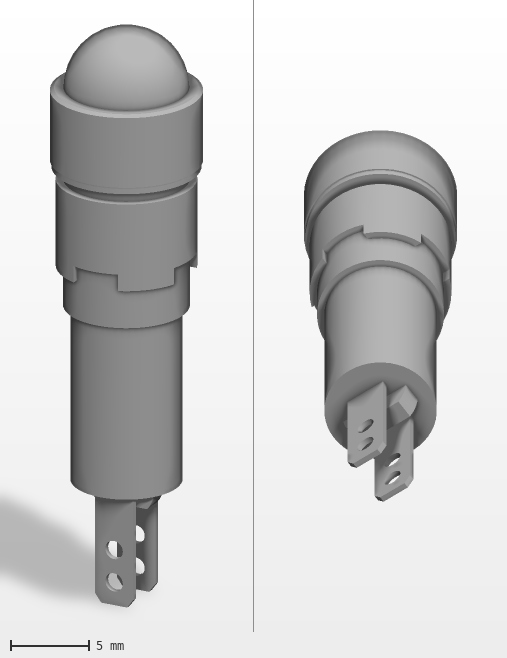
import cadquery as cq

total_height = 39.0
lens_radius = 4.0

bezel_radius = 4.895
bezel_lip_radius = 4.8
neck_radius = 4.05
sleeve_radius = 4.52
barrel_radius = 3.6

bezel_top = total_height - lens_radius
bezel_bottom = 30.03
lip_bottom = 29.55
sleeve_top = 28.75
finger_bottom = 22.78
collar_bottom = 20.05
barrel_bottom = 8.07

bevel_width = 0.27
bevel_height = 0.15

notch_width = 3.2
notch_height = 1.15

terminal_width = 2.73
terminal_thickness = 0.4
terminal_offset = 1.52
tip_chamfer_width = 0.43
tip_chamfer_height = 0.6
hole_diameter = 1.25
hole_heights = (1.55, 3.8)

key_bottom = 6.55
key_thickness = 1.33
key_top_half_width = 2.4
key_shoulder_half_width = 2.05
key_tip_half_width = 1.85
key_shoulder_height = 6.85
key_flank_mid = (2.3, 7.45)


def cylinder(radius, bottom, top):
    """Vertical cylinder on the Z axis between two heights."""
    return cq.Workplane("XY").workplane(offset=bottom).circle(radius).extrude(top - bottom)


def make_bezel():
    """Bevelled head with a narrower lip at its lower end."""
    rim = cylinder(bezel_radius, bezel_bottom, bezel_top)
    rim = rim.faces(">Z").edges().chamfer(bevel_height, bevel_width)
    return rim.union(cylinder(bezel_lip_radius, lip_bottom, bezel_bottom))


def make_sleeve():
    """Ring whose lower rim is notched on the X and Y axes."""
    sleeve = cylinder(sleeve_radius, finger_bottom, sleeve_top)
    notch_span = 2 * bezel_radius
    for length_x, length_y in ((notch_span, notch_width), (notch_width, notch_span)):
        notch = (
            cq.Workplane("XY")
            .workplane(offset=finger_bottom)
            .rect(length_x, length_y)
            .extrude(notch_height)
        )
        sleeve = sleeve.cut(notch)
    return sleeve


def make_terminal(center_y):
    """Flat blade with two solder holes and a chamfered tip."""
    half_width = terminal_width / 2
    tip_half_width = half_width - tip_chamfer_width
    front_plane = cq.Workplane("XZ", origin=(0, center_y + terminal_thickness / 2, 0))
    blade = (
        front_plane
        .moveTo(-tip_half_width, 0)
        .lineTo(tip_half_width, 0)
        .lineTo(half_width, tip_chamfer_height)
        .lineTo(half_width, barrel_bottom)
        .lineTo(-half_width, barrel_bottom)
        .lineTo(-half_width, tip_chamfer_height)
        .close()
        .extrude(terminal_thickness)
    )
    holes = (
        front_plane
        .pushPoints([(0, height) for height in hole_heights])
        .circle(hole_diameter / 2)
        .extrude(terminal_thickness)
    )
    return blade.cut(holes)


def make_key():
    """Tapered key with curved flanks and a bevelled tip."""
    mid_x, mid_z = key_flank_mid
    return (
        cq.Workplane("XZ", origin=(0, key_thickness / 2, 0))
        .moveTo(-key_tip_half_width, key_bottom)
        .lineTo(key_tip_half_width, key_bottom)
        .lineTo(key_shoulder_half_width, key_shoulder_height)
        .threePointArc((mid_x, mid_z), (key_top_half_width, barrel_bottom))
        .lineTo(-key_top_half_width, barrel_bottom)
        .threePointArc((-mid_x, mid_z), (-key_shoulder_half_width, key_shoulder_height))
        .close()
        .extrude(key_thickness)
    )


def make_housing():
    """Bezel, neck, sleeve, barrel, key and terminals as one solid."""
    housing = cylinder(barrel_radius, barrel_bottom, collar_bottom)
    housing = housing.union(cylinder(neck_radius, collar_bottom, lip_bottom))
    housing = housing.union(make_sleeve())
    housing = housing.union(make_bezel())
    housing = housing.union(make_key())
    for center_y in (-terminal_offset, terminal_offset):
        housing = housing.union(make_terminal(center_y))
    return housing


def make_lens():
    """Hemispherical lens seated on the flat top of the bezel."""
    return (
        cq.Workplane("XZ", origin=(0, 0, bezel_top))
        .lineTo(lens_radius, 0)
        .radiusArc((0, lens_radius), -lens_radius)
        .close()
        .revolve(360, (0, 0, 0), (0, 1, 0))
    )


housing = make_housing()
lens = make_lens()

result = cq.Compound.makeCompound([housing.val(), lens.val()])